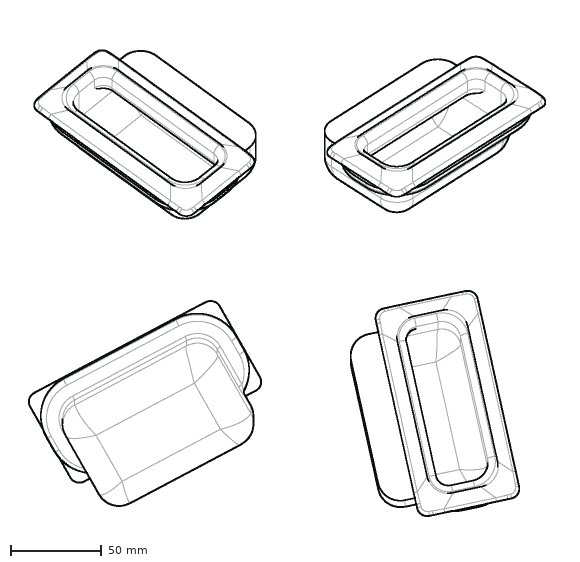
import cadquery as cq


BEZEL_LENGTH = 120
BEZEL_WIDTH = 58.0
WALL = 2.0
EDGE_RADIUS = 3.0

LEDGE = 12
TRAY_LENGTH = BEZEL_LENGTH - 2 * LEDGE
TRAY_WIDTH = 64.0
TRAY_HEIGHT = 35.0
TRAY_FRONT = LEDGE - BEZEL_WIDTH / 2
TRAY_CORNER_RADIUS = 12.5
TRAY_BOTTOM_RADIUS = 16.9

FLANGE_THICKNESS = EDGE_RADIUS + WALL
ROOT_RADIUS = WALL
FLANGE_CORNER_RADIUS = TRAY_CORNER_RADIUS + LEDGE
FLANGE_BOTTOM = TRAY_HEIGHT - FLANGE_THICKNESS

NECK_LENGTH = 105.4
NECK_WIDTH = 38.4
NECK_HEIGHT = WALL

BEZEL_BOTTOM = TRAY_HEIGHT + NECK_HEIGHT
BEZEL_HEIGHT = 5.9
BEZEL_TOP = BEZEL_BOTTOM + BEZEL_HEIGHT
BEZEL_CORNER_RADIUS = 5.8
BEZEL_SIDE_HEIGHT = 2.2
SLOPE_WIDTH = 9.0
LAND_CORNER_RADIUS = 12
SLOPE_CORNER_REACH = 13.0

OPENING_LENGTH = TRAY_LENGTH - 2 * WALL
OPENING_HALF_WIDTH = -TRAY_FRONT - WALL
OPENING_REAR_RADIUS = 7.0
OPENING_LIP_RADIUS = 4.1

ROOF_EDGE_RADIUS = 7.5
ROOF_THICKNESS = 10.5
ROOF_BOTTOM = TRAY_HEIGHT - ROOF_THICKNESS

PICK_MARGIN = 0.2


def edges_in_box(low, high):
    """Selector for edges whose centre lies in the box, widened a little on every side."""
    return cq.selectors.BoxSelector(
        tuple(value - PICK_MARGIN for value in low),
        tuple(value + PICK_MARGIN for value in high),
    )


def rounded_plate(length, width, corner_radius, bottom, height):
    """Upright plate centred on the opening, with round corners in plan."""
    plate = cq.Workplane("XY").box(length, width, height, centered=(True, True, False))
    return plate.edges("|Z").fillet(corner_radius).translate((0, 0, bottom))


def tray_block(inset, top):
    """Solid tray shape, moved inward by the inset on the sides and the bottom."""
    length = TRAY_LENGTH - 2 * inset
    width = TRAY_WIDTH - 2 * inset
    block = cq.Workplane("XY").box(length, width, top - inset, centered=(True, False, False))
    block = block.faces("<Z").edges().fillet(TRAY_BOTTOM_RADIUS - inset)
    block = block.edges("|Z").fillet(TRAY_CORNER_RADIUS - inset)
    return block.translate((0, TRAY_FRONT + inset, inset))


def slope_outline(half_length, half_width, corner_reach, height, make_corner):
    """Closed outline of four straight sides joined by four equal corners, counterclockwise."""
    edges = []
    for sign_x, sign_y in ((1, 1), (-1, 1), (-1, -1), (1, -1)):
        corner = cq.Vector(sign_x * half_length, sign_y * half_width, height)
        on_side_x = corner - cq.Vector(0, sign_y * corner_reach, 0)
        on_side_y = corner - cq.Vector(sign_x * corner_reach, 0, 0)
        if sign_x == sign_y:
            start, end = on_side_x, on_side_y
            next_start = cq.Vector(-end.x, end.y, height)
        else:
            start, end = on_side_y, on_side_x
            next_start = cq.Vector(end.x, -end.y, height)
        edges.append(make_corner(start, corner, end))
        edges.append(cq.Edge.makeLine(end, next_start))
    return cq.Wire.assembleEdges(edges)


def tight_corner(start, corner, end):
    """Curve tangent to both sides that stays close to the sharp corner."""
    return cq.Edge.makeBezier([start, corner, corner, corner, end])


def round_corner(start, corner, end):
    """Quarter circle tangent to both sides."""
    return cq.Edge.makeTangentArc(start, corner - start, end)


def bezel():
    """Frame plate whose top slopes up from all four sides to a flat land around the opening."""
    plate = rounded_plate(BEZEL_LENGTH, BEZEL_WIDTH, BEZEL_CORNER_RADIUS, BEZEL_BOTTOM, BEZEL_HEIGHT)
    overrun = SLOPE_WIDTH * BEZEL_SIDE_HEIGHT / (BEZEL_HEIGHT - BEZEL_SIDE_HEIGHT)
    base = slope_outline(
        BEZEL_LENGTH / 2 + overrun,
        BEZEL_WIDTH / 2 + overrun,
        SLOPE_CORNER_REACH,
        BEZEL_BOTTOM,
        tight_corner,
    )
    land = slope_outline(
        BEZEL_LENGTH / 2 - SLOPE_WIDTH,
        BEZEL_WIDTH / 2 - SLOPE_WIDTH,
        LAND_CORNER_RADIUS,
        BEZEL_TOP,
        round_corner,
    )
    slope = cq.Solid.makeLoft([base, land], True)
    frame = plate.intersect(cq.Workplane(slope))
    side_top = BEZEL_BOTTOM + BEZEL_SIDE_HEIGHT
    rim = edges_in_box(
        (-BEZEL_LENGTH / 2, -BEZEL_WIDTH / 2, side_top),
        (BEZEL_LENGTH / 2, BEZEL_WIDTH / 2, side_top),
    )
    return frame.edges(rim).fillet(EDGE_RADIUS)


def flange():
    """Flange around the tray mouth, rounded along its lower edge."""
    plate = rounded_plate(
        BEZEL_LENGTH, BEZEL_WIDTH, FLANGE_CORNER_RADIUS, FLANGE_BOTTOM, FLANGE_THICKNESS
    )
    return plate.faces("<Z").edges().fillet(EDGE_RADIUS)


def tray_with_flange():
    """Solid tray joined to the flange, with a hollow fillet where they meet."""
    joined = tray_block(0, TRAY_HEIGHT).union(flange())
    root = edges_in_box(
        (-TRAY_LENGTH / 2, TRAY_FRONT, FLANGE_BOTTOM),
        (TRAY_LENGTH / 2, BEZEL_WIDTH / 2 - EDGE_RADIUS, TRAY_HEIGHT - ROOT_RADIUS / 2),
    )
    return joined.edges(root).fillet(ROOT_RADIUS)


def hollow():
    """Space inside the handle: tray cavity under the roof, opening above, and the rounded roof edge."""
    cavity = cq.Workplane("XY").box(
        2 * TRAY_LENGTH, 2 * TRAY_WIDTH, ROOF_BOTTOM, centered=(True, True, False)
    )
    opening = cq.Workplane("XY").box(
        OPENING_LENGTH, TRAY_WIDTH, BEZEL_TOP, centered=(True, False, False)
    )
    opening = opening.translate((0, OPENING_HALF_WIDTH - TRAY_WIDTH, 0))
    opening = opening.edges("|Z and >Y").fillet(OPENING_REAR_RADIUS)
    space = cavity.union(opening)
    roof_edge = edges_in_box(
        (-OPENING_LENGTH / 2, OPENING_HALF_WIDTH - TRAY_WIDTH, ROOF_BOTTOM),
        (OPENING_LENGTH / 2, OPENING_HALF_WIDTH, ROOF_BOTTOM),
    )
    space = space.edges(roof_edge).fillet(ROOF_EDGE_RADIUS)
    return space.intersect(tray_block(WALL, BEZEL_TOP))



def handle():
    """Tray, flange, neck and bezel as one hollow body with a rounded lip around the opening."""
    neck = cq.Workplane("XY").slot2D(NECK_LENGTH, NECK_WIDTH).extrude(NECK_HEIGHT)
    neck = neck.translate((0, 0, TRAY_HEIGHT))
    body = tray_with_flange().union(neck).union(bezel()).cut(hollow())
    lip = edges_in_box(
        (-OPENING_LENGTH / 2, -OPENING_HALF_WIDTH, BEZEL_TOP),
        (OPENING_LENGTH / 2, OPENING_HALF_WIDTH, BEZEL_TOP),
    )
    return body.edges(lip).fillet(OPENING_LIP_RADIUS)


result = handle()